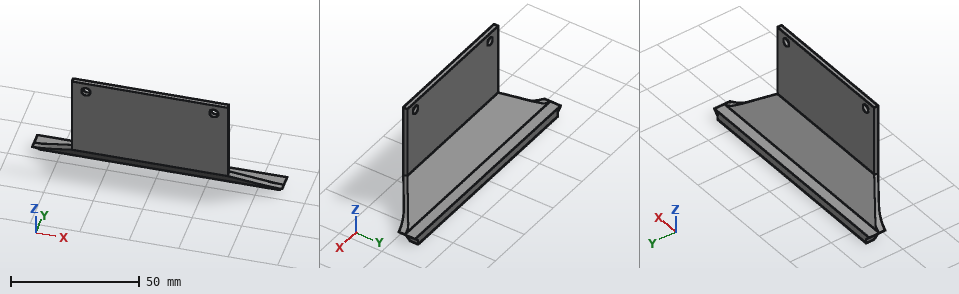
import cadquery as cq
import math

length = 101.0
depth = 18.6
height = 48.9
thickness = 2.0

plate_width = 63.0
hole_diameter = 3.5
hole_spacing = 51.7
hole_drop = 4.0

bend_height = 14.8
miter_rise = thickness * math.tan(math.radians(22.5))

foot_height = 4.0
lower_strip_height = 2.0
end_bevel = 2.0

front_arc_start = 40.8
front_tip_angle = 18.4
back_arc_start = 45.9
back_tip_angle = 3.4


def upright_plate():
    profile = [
        (0, bend_height),
        (0, height),
        (thickness, height),
        (thickness, bend_height + miter_rise),
    ]
    plate = cq.Workplane("YZ").polyline(profile).close().extrude(plate_width / 2, both=True)
    holes = (
        cq.Workplane("XZ")
        .pushPoints([(side * hole_spacing / 2, height - hole_drop) for side in (-1, 1)])
        .circle(hole_diameter / 2)
        .extrude(-thickness)
    )
    return plate.cut(holes)


def web_outline(bend_y, bend_z, arc_start, tip_angle):
    """Closed outline of one web face; distances down the slope start at its bend."""
    half_top = plate_width / 2
    half_foot = length / 2
    slope_length = (bend_z - foot_height) * math.sqrt(2)
    line_drop = arc_start - half_top
    chord_x = half_foot - arc_start
    chord_drop = slope_length - line_drop
    bulge = math.tan(math.radians(45 - tip_angle) / 4) / 2
    middle_x = (arc_start + half_foot) / 2 - bulge * chord_drop
    middle_drop = (line_drop + slope_length) / 2 + bulge * chord_x

    def point(x, drop):
        step = drop / math.sqrt(2)
        return cq.Vector(x, bend_y + step, bend_z - step)

    def flared_edge(side):
        return [
            cq.Edge.makeLine(point(side * half_top, 0), point(side * arc_start, line_drop)),
            cq.Edge.makeThreePointArc(
                point(side * arc_start, line_drop),
                point(side * middle_x, middle_drop),
                point(side * half_foot, slope_length),
            ),
        ]

    top = cq.Edge.makeLine(point(-half_top, 0), point(half_top, 0))
    bottom = cq.Edge.makeLine(point(half_foot, slope_length), point(-half_foot, slope_length))
    return cq.Wire.assembleEdges([top] + flared_edge(1) + [bottom] + flared_edge(-1)[::-1])


def sloping_web():
    front = web_outline(0, bend_height, front_arc_start, front_tip_angle)
    back = web_outline(thickness, bend_height + miter_rise, back_arc_start, back_tip_angle)
    return cq.Workplane(cq.Solid.makeLoft([front, back], True))


def foot():
    side_profile = [
        (bend_height, 0),
        (depth, 0),
        (depth, foot_height),
        (bend_height - foot_height, foot_height),
    ]
    bar = cq.Workplane("YZ").polyline(side_profile).close().extrude(length / 2, both=True)
    half_lower = length / 2 - end_bevel
    end_profile = [
        (-half_lower, 0),
        (half_lower, 0),
        (half_lower, lower_strip_height),
        (length / 2, foot_height),
        (-length / 2, foot_height),
        (-half_lower, lower_strip_height),
    ]
    envelope = cq.Workplane("XZ").polyline(end_profile).close().extrude(-depth)
    return bar.intersect(envelope)


result = upright_plate().union(sloping_web()).union(foot())